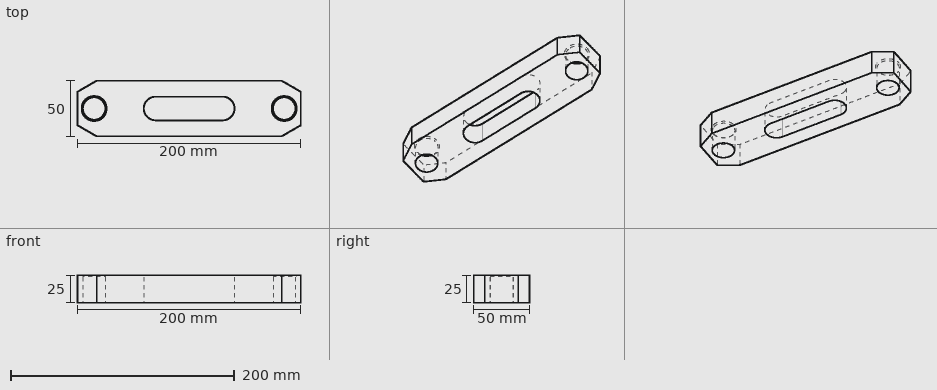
import cadquery as cq
import math

length = 200.0
width = 50.0
thickness = 25.0

corner_depth = 10.0
corner_angle = 30.0
corner_run = corner_depth / math.tan(math.radians(corner_angle))

slot_length = 81.0
slot_width = 21.0

hole_diameter = 20.0
hole_end_distance = 15.0
hole_chamfer = 1.25
hole_x = length / 2 - hole_end_distance


def make_bar():
    """Flat bar with its four vertical corners bevelled."""
    half_length = length / 2
    half_width = width / 2
    shoulder_x = half_length - corner_run
    end_y = half_width - corner_depth
    outline = [
        (-half_length, -end_y),
        (-shoulder_x, -half_width),
        (shoulder_x, -half_width),
        (half_length, -end_y),
        (half_length, end_y),
        (shoulder_x, half_width),
        (-shoulder_x, half_width),
        (-half_length, end_y),
    ]
    return cq.Workplane("XY").polyline(outline).close().extrude(thickness)


def make_slot():
    """Cutter for the central slot."""
    return cq.Workplane("XY").slot2D(slot_length, slot_width).extrude(thickness)


def make_end_hole(x):
    """Cutter for a through hole at x with a 45 degree chamfer at its top edge."""
    radius = hole_diameter / 2
    profile = [
        (0, 0),
        (radius, 0),
        (radius, thickness - hole_chamfer),
        (radius + hole_chamfer, thickness),
        (0, thickness),
    ]
    cutter = cq.Workplane("XZ").polyline(profile).close().revolve(360, (0, 0), (0, 1))
    return cutter.translate((x, 0, 0))


result = make_bar().cut(make_slot())
for x in (-hole_x, hole_x):
    result = result.cut(make_end_hole(x))